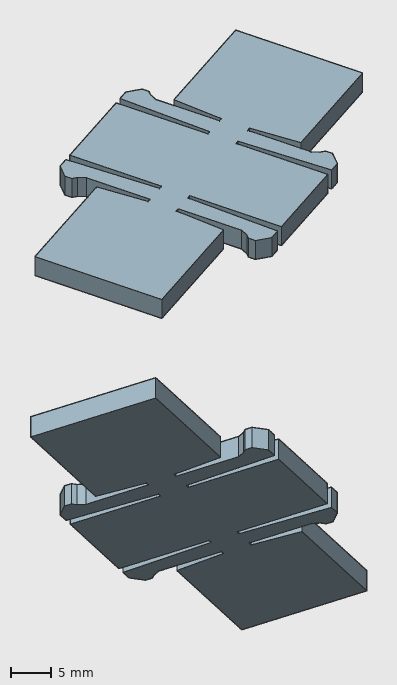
import cadquery as cq

thickness = 3.0
length = 52.0

spine_half_width = 2.0
center_half_width = 15.0
center_half_length = 6.0
end_half_width = 9.0

slot_root_gap = 0.5
slot_mouth_gap = 1.0

arm_root_inner_y = center_half_length + slot_root_gap
arm_tip_inner_y = center_half_length + slot_mouth_gap
arm_outer_y = 9.0

hook_height = 1.0
hook_start_x = 11.0
hook_ramp_run = 1.0
hook_ramp_rise = 0.5
hook_crest_length = 1.0
hook_chamfer = 1.5
hook_crest_y = arm_outer_y + hook_height
hook_crest_end_x = center_half_width - hook_chamfer
hook_crest_start_x = hook_crest_end_x - hook_crest_length

end_root_y = arm_outer_y + slot_root_gap
end_mouth_y = arm_outer_y + slot_mouth_gap


def mirrored_plate(right_half):
    """Extrude an outline given by its +X half, listed from low Y to high Y."""
    left_half = [(-x, y) for x, y in reversed(right_half)]
    return cq.Workplane("XY").polyline(right_half + left_half).close().extrude(thickness)


def center_block():
    return mirrored_plate([
        (center_half_width, -center_half_length),
        (center_half_width, center_half_length),
    ])


def spine():
    return mirrored_plate([
        (spine_half_width, -end_root_y),
        (spine_half_width, end_root_y),
    ])


def arm_pair():
    """The two hooked arms on the +Y side, joined across the spine."""
    return mirrored_plate([
        (spine_half_width, arm_root_inner_y),
        (center_half_width, arm_tip_inner_y),
        (center_half_width, hook_crest_y - hook_chamfer),
        (hook_crest_end_x, hook_crest_y),
        (hook_crest_start_x, hook_crest_y),
        (hook_start_x + hook_ramp_run, arm_outer_y + hook_ramp_rise),
        (hook_start_x, arm_outer_y),
        (spine_half_width, arm_outer_y),
    ])


def end_block():
    """The +Y end block, its inner edge sloping away from the arms."""
    return mirrored_plate([
        (spine_half_width, end_root_y),
        (end_half_width, end_mouth_y),
        (end_half_width, length / 2),
    ])


upper_half = arm_pair().union(end_block())
lower_half = upper_half.mirror("XZ")
result = center_block().union(spine()).union(upper_half).union(lower_half).clean()